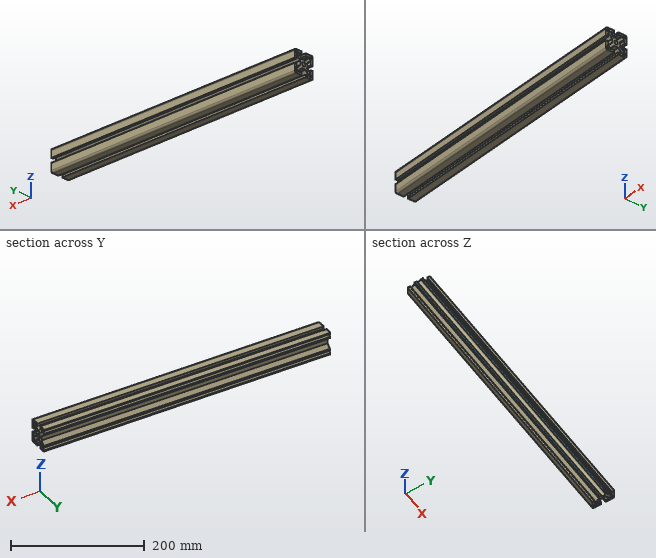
import cadquery as cq

length = 500.0
side = 40.0
corner_radius = 3.5

slot_opening = 8.2
lip_thickness = 4.5
cavity_width = 20.0
cavity_wall = 1.5
floor_distance = 7.7

center_bore = 6.8
corner_bore = 4.0
corner_bore_offset = 15.0

half_side = side / 2
lip_inside = half_side - lip_thickness
cavity_wall_end = lip_inside - cavity_wall
flank_depth = cavity_wall_end - floor_distance
floor_half_width = cavity_width / 2 - flank_depth


def bar_section():
    """Workplane across the bar, at its lower X end."""
    return cq.Workplane("YZ", origin=(-length / 2, 0, 0))


def rounded_bar():
    """Square bar with its four long edges rounded."""
    bar = bar_section().rect(side, side).extrude(length)
    return bar.edges("|X").fillet(corner_radius)


def t_slot(angle):
    """T-slot cutter for the +Z face, turned about the bar axis by angle."""
    right_half = [
        (slot_opening / 2, half_side),
        (slot_opening / 2, lip_inside),
        (cavity_width / 2, lip_inside),
        (cavity_width / 2, cavity_wall_end),
        (floor_half_width, floor_distance),
    ]
    left_half = [(-y, z) for y, z in reversed(right_half)]
    cutter = bar_section().polyline(right_half + left_half).close().extrude(length)
    return cutter.rotate((0, 0, 0), (1, 0, 0), angle)


def bores():
    """Centre bore and the four corner bores."""
    center = bar_section().circle(center_bore / 2).extrude(length)
    spacing = 2 * corner_bore_offset
    corners = bar_section().rect(spacing, spacing, forConstruction=True).vertices()
    return center.union(corners.circle(corner_bore / 2).extrude(length))


result = rounded_bar()
for angle in (0, 90, 180, 270):
    result = result.cut(t_slot(angle))
result = result.cut(bores())